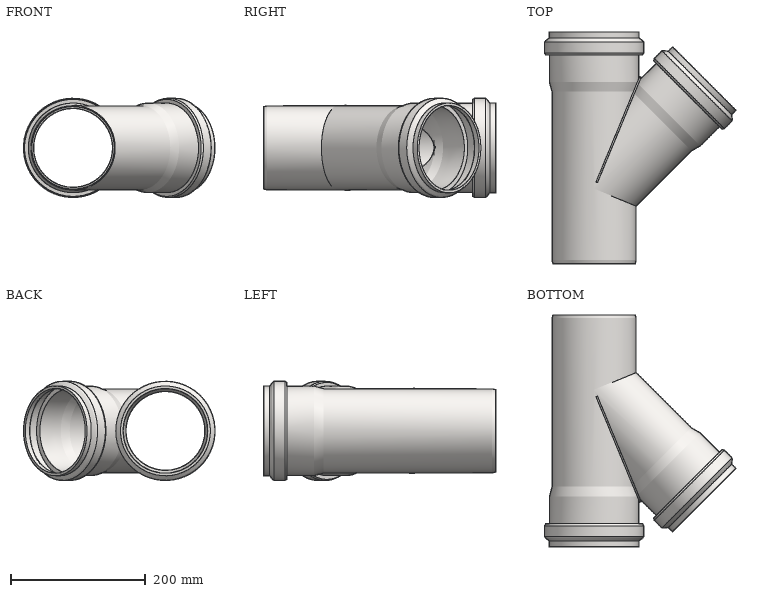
import cadquery as cq
import math

total_length = 345.0
junction_y = 111.8
branch_angle = 45.0
branch_length = 231.5
pipe_radius = 125.2 / 2
bore_radius = 117.0 / 2
spigot_chamfer_length = 5.2
spigot_chamfer_depth = 1.5

wall = 3.8
socket_radius = 133.0 / 2
lip_radius = 133.5 / 2
collar_radius = 147.5 / 2

lip_depth = 9.0
collar_front = 13.0
collar_back = 34.5
collar_front_bevel = 2.0
collar_back_bevel = 3.0
bevel_depth = 1.7
socket_root = 75.0
socket_cone_end = 89.5

web_thickness = 2.5
web_reach = 180.0
web_half_width = 63.5
web_start = 10.5


def revolve_profile(points):
    """Revolve (radius, height) points about the Y axis."""
    return cq.Workplane("XY").polyline(points).close().revolve(360, (0, 0), (0, 1))


def tube_outside(start, end):
    """Solid pipe from start up to a socket mouth at end."""
    return revolve_profile([
        (0, start),
        (pipe_radius, start),
        (pipe_radius, end - socket_cone_end),
        (socket_radius, end - socket_root),
        (socket_radius, end - collar_back),
        (collar_radius - bevel_depth, end - collar_back),
        (collar_radius, end - collar_back + collar_back_bevel),
        (collar_radius, end - collar_front - collar_front_bevel),
        (collar_radius - bevel_depth, end - collar_front),
        (lip_radius, end - lip_depth),
        (lip_radius, end),
        (0, end),
    ])


def tube_inside(start, end):
    """Bore with its socket and the seal groove inside the collar."""
    mouth_radius = lip_radius - wall
    groove_radius = collar_radius - wall
    return revolve_profile([
        (0, start),
        (bore_radius, start),
        (bore_radius, end - socket_cone_end),
        (socket_radius - wall, end - socket_root),
        (mouth_radius, end - collar_back + wall),
        (groove_radius, end - collar_back + wall),
        (groove_radius, end - collar_front - wall),
        (mouth_radius, end - lip_depth),
        (mouth_radius, end),
        (0, end),
    ])


def place_branch(tube):
    """Lean a tube built from the origin toward +X and move it to the junction."""
    return tube.rotate((0, 0, 0), (0, 0, 1), -branch_angle).translate((0, junction_y, 0))


def spigot_chamfer():
    """Ring of material removed around the plain end of the pipe."""
    return revolve_profile([
        (pipe_radius - spigot_chamfer_depth, 0),
        (pipe_radius, 0),
        (pipe_radius, spigot_chamfer_length),
    ])


def crotch_web():
    """Half-elliptical plate on the plane midway between the two pipes."""
    start_angle = math.degrees(math.asin(web_start / web_reach))
    plate = (
        cq.Workplane("YZ")
        .ellipseArc(web_reach, web_half_width, start_angle - 90, 90 - start_angle, startAtCurrent=False)
        .close()
        .extrude(web_thickness / 2, both=True)
    )
    return plate.rotate((0, 0, 0), (0, 0, 1), -branch_angle / 2).translate((0, junction_y, 0))


main_outside = tube_outside(0, total_length).cut(spigot_chamfer())
main_inside = tube_inside(0, total_length)
branch_outside = place_branch(tube_outside(0, branch_length))
branch_inside = place_branch(tube_inside(0, branch_length))

main_shell = main_outside.cut(main_inside).cut(branch_inside)
branch_shell = branch_outside.cut(branch_inside).cut(main_inside)
web_rim = crotch_web().cut(main_inside).cut(branch_inside)
result = main_shell.union(branch_shell).union(web_rim)